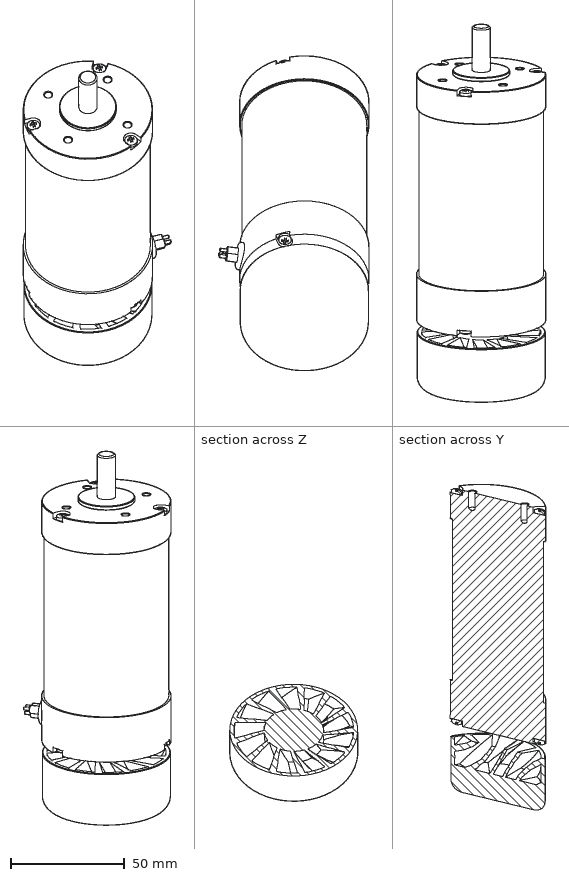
import cadquery as cq
import math

total_height = 165
total_depth = 66.5
edge_chamfer = 0.3

fan_height = 25.5
fan_radius = 28.2
fan_bottom_fillet = 5.3
fan_rim_width = 2.0
fan_hub_radius = 13.2
blade_count = 13
blade_width = 3.5
blade_sweep = 10.0
blade_twist = 32.0
first_slot_angle = 233.5
slot_depth = 13.2

shaft_diameter = 8.1
shaft_chamfer = 0.7
fan_gap = 5.6
rear_cap_height = 20.8
tube_height = 76.0
front_cap_height = 15.0
boss_height = 2.0
cap_diameter = 57.0
tube_diameter = 55.0
boss_radius = 12.5

mount_hole_spacing = 27.5
mount_hole_radius = 1.6
mount_hole_depth = 8.0
drill_point_angle = 118.0

screw_circle_radius = 25.2
screw_angles = (30, 150, 270)
recess_width = 6.5
recess_depth = 2.5
head_radius = 2.8
head_height = 2.3
head_rim_height = 1.3
cross_length = 2.8
cross_width = 0.8
cross_depth = 1.2

grommet_radius = 6.1
grommet_reach = 30.0
grommet_fillet = 1.3
grommet_depth = 3.3
cable_z = 41.1
wire_circle_radius = 1.6
wire_angles = (30, 150, 270)
sleeve_radius = 1.8
sleeve_reach = 35.0
core_radius = 0.75

shaft_radius = shaft_diameter / 2
cap_radius = cap_diameter / 2
tube_radius = tube_diameter / 2
core_reach = total_depth - cap_radius

rear_cap_bottom = fan_height + fan_gap
rear_cap_top = rear_cap_bottom + rear_cap_height
front_cap_bottom = rear_cap_top + tube_height
front_cap_top = front_cap_bottom + front_cap_height
boss_top = front_cap_top + boss_height


def disc(radius, bottom, top):
    """Cylinder on the motor axis between two heights."""
    return cq.Workplane("XY").workplane(offset=bottom).circle(radius).extrude(top - bottom)


def shaft_and_housing():
    """Both end caps, the tube, the locating boss and the shaft."""
    shaft = disc(shaft_radius, fan_height, total_height).faces(">Z").chamfer(shaft_chamfer)
    return (
        disc(cap_radius, rear_cap_bottom, rear_cap_top)
        .union(disc(tube_radius, rear_cap_top, front_cap_bottom))
        .union(disc(cap_radius, front_cap_bottom, front_cap_top).edges().chamfer(edge_chamfer))
        .union(disc(boss_radius, front_cap_top, boss_top).edges().chamfer(edge_chamfer))
        .union(shaft)
    )


def mount_holes():
    """Four blind holes with drill points, on a square pattern in the front cap."""
    point_depth = mount_hole_radius / math.tan(math.radians(drill_point_angle / 2))
    hole = (
        cq.Workplane("XZ")
        .polyline([
            (0, 0),
            (mount_hole_radius + edge_chamfer, 0),
            (mount_hole_radius, -edge_chamfer),
            (mount_hole_radius, -mount_hole_depth),
            (0, -mount_hole_depth - point_depth),
        ])
        .close()
        .revolve(360, (0, 0, 0), (0, 1, 0))
        .val()
    )
    return (
        cq.Workplane("XY")
        .workplane(offset=front_cap_top)
        .rarray(mount_hole_spacing, mount_hole_spacing, 2, 2)
        .eachpoint(lambda place: hole.moved(place))
    )


def screw_recess(angle, bottom):
    """Round-ended notch, open through the side of the cap, for one screw head."""
    notch_length = cap_radius
    return (
        cq.Workplane("XY")
        .workplane(offset=bottom)
        .center(screw_circle_radius, 0)
        .circle(recess_width / 2)
        .extrude(recess_depth)
        .union(
            cq.Workplane("XY")
            .workplane(offset=bottom)
            .center(screw_circle_radius + notch_length / 2, 0)
            .rect(notch_length, recess_width)
            .extrude(recess_depth)
        )
        .rotate((0, 0, 0), (0, 0, 1), angle)
    )


def along_cable(radius, start, end, x=0, z=cable_z):
    """Cylinder parallel to +Y between two distances from the motor axis."""
    return (
        cq.Workplane("XZ", origin=(0, start, 0))
        .center(x, z)
        .circle(radius)
        .extrude(start - end)
    )


def cable():
    """Grommet with three sleeved wires whose bare cores stick out."""
    grommet_start = cap_radius - grommet_depth
    body = along_cable(grommet_radius, grommet_start, grommet_reach)
    body = body.faces(">Y").edges().fillet(grommet_fillet)
    for angle in wire_angles:
        x = wire_circle_radius * math.cos(math.radians(angle))
        z = cable_z + wire_circle_radius * math.sin(math.radians(angle))
        for radius, reach in ((sleeve_radius, sleeve_reach), (core_radius, core_reach)):
            wire = along_cable(radius, grommet_start, reach, x, z)
            body = body.union(wire.faces(">Y").chamfer(edge_chamfer))
    return body


def make_motor():
    """Housing with its shaft, cable, mounting holes and screw recesses."""
    motor = shaft_and_housing().union(cable()).cut(mount_holes())
    for angle in screw_angles:
        motor = motor.cut(screw_recess(angle, front_cap_top - recess_depth))
        motor = motor.cut(screw_recess(angle, rear_cap_bottom))
    return motor


def dome_radius():
    """Radius of the sphere through the head's rim and its top."""
    rise = head_height - head_rim_height
    return (head_radius ** 2 + rise ** 2) / (2 * rise)


def make_screw():
    """Domed cross-recess head, standing on Z = 0."""
    head = (
        cq.Workplane("XZ")
        .lineTo(head_radius, 0)
        .lineTo(head_radius, head_rim_height)
        .radiusArc((0, head_height), -dome_radius())
        .close()
        .revolve(360, (0, 0, 0), (0, 1, 0))
    )
    cross_floor = cq.Workplane("XY").workplane(offset=head_height - cross_depth)
    for length, width in ((cross_length, cross_width), (cross_width, cross_length)):
        head = head.cut(cross_floor.rect(length, width).extrude(cross_depth))
    return head


def make_screws():
    """Three screws in the front cap, and three upside down in the rear cap."""
    upright = make_screw()
    inverted = upright.rotate((0, 0, 0), (1, 0, 0), 180)
    screws = []
    for angle in screw_angles:
        x = screw_circle_radius * math.cos(math.radians(angle))
        y = screw_circle_radius * math.sin(math.radians(angle))
        screws.append(upright.translate((x, y, front_cap_top - recess_depth)))
        screws.append(inverted.translate((x, y, rear_cap_bottom + recess_depth)))
    return screws


def fan_slot():
    """Twisted pocket between two neighbouring blades, centred on +X at its mouth."""
    outer_radius = fan_radius - fan_rim_width
    blade_angle = math.degrees(blade_width / outer_radius)
    half_angle = (360 / blade_count - blade_angle) / 2

    def corner(radius, angle):
        turn = math.radians(angle)
        return (radius * math.cos(turn), radius * math.sin(turn))

    return (
        cq.Workplane("XY")
        .moveTo(*corner(fan_hub_radius, -half_angle - blade_sweep))
        .lineTo(*corner(outer_radius, -half_angle))
        .threePointArc((outer_radius, 0), corner(outer_radius, half_angle))
        .lineTo(*corner(fan_hub_radius, half_angle - blade_sweep))
        .threePointArc(
            corner(fan_hub_radius, -blade_sweep),
            corner(fan_hub_radius, -half_angle - blade_sweep),
        )
        .close()
        .twistExtrude(-slot_depth, -blade_twist)
        .translate((0, 0, fan_height))
    )


def make_fan():
    """Rounded cup with a ring of slots between swept, twisted blades."""
    fan = disc(fan_radius, 0, fan_height)
    fan = fan.faces("<Z").edges().fillet(fan_bottom_fillet)
    fan = fan.faces(">Z").edges().chamfer(edge_chamfer)
    slot = fan_slot()
    for index in range(blade_count):
        fan = fan.cut(slot.rotate((0, 0, 0), (0, 0, 1), first_slot_angle + index * 360 / blade_count))
    return fan


motor = make_motor()
screws = make_screws()
fan = make_fan()

result = cq.Compound.makeCompound([motor.val(), *[screw.val() for screw in screws], fan.val()])